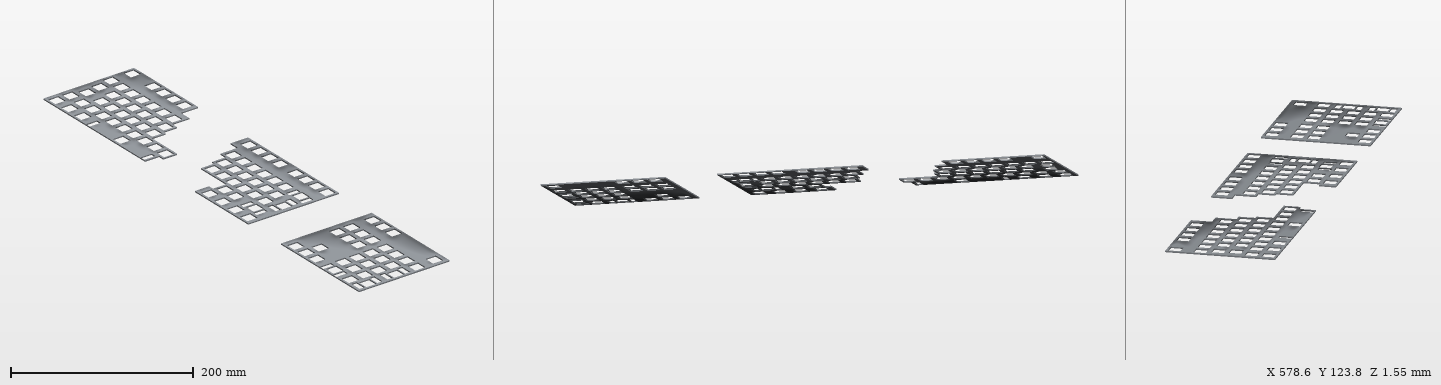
import cadquery as cq


UNIT = 19.05
HALF_KEY = 0.5
THICKNESS = 1.55
TOTAL_LENGTH = 578.62
PAD_GAP = 60.0

SWITCH_SIZE = 14.0
STABILISER_WIDTH = 7.0
STABILISER_FRONT = 9.0
STABILISER_BACK = 6.0
SHORT_STABILISER = 12.0
SPACEBAR_STABILISER = 50.0

DEPTH = 6.5
RIGHT_WIDTH = 8.75
PAD_WIDTH = 7.5

BOTTOM_ROW, SHIFT_ROW, HOME_ROW, UPPER_ROW, NUMBER_ROW = (HALF_KEY + row for row in range(5))
FUNCTION_ROW = DEPTH - HALF_KEY

SHIFT_FRONT, HOME_FRONT, UPPER_FRONT, NUMBER_FRONT = range(1, 5)
FUNCTION_FRONT = FUNCTION_ROW - 0.75

LEFT_X = 0.0
PAD_X = TOTAL_LENGTH - PAD_WIDTH * UNIT
RIGHT_X = PAD_X - PAD_GAP - RIGHT_WIDTH * UNIT


def run(first, count):
    """Centres of `count` one-unit keys standing side by side."""
    return [first + step for step in range(count)]


def scaled(points):
    """Turn points in key units into millimetres."""
    return [(x * UNIT, y * UNIT) for x, y in points]


def make_blank(outline):
    """A plate with the given outline, before any opening is cut."""
    return cq.Workplane("XY").polyline(scaled(outline)).close().extrude(THICKNESS)


def cut_switches(plate, rows):
    """Cut a switch opening at every key of [(row centre, [key centres])]."""
    centres = [(x, y) for y, columns in rows for x in columns]
    openings = (
        cq.Workplane("XY")
        .pushPoints(scaled(centres))
        .rect(SWITCH_SIZE, SWITCH_SIZE)
        .extrude(THICKNESS)
    )
    return plate.cut(openings)


def cut_stabilisers(plate, key, offset, upright=False):
    """Cut the slot pair of a long key; an upright key has its front turned to -X."""
    slot_length = STABILISER_FRONT + STABILISER_BACK
    slot_shift = (STABILISER_BACK - STABILISER_FRONT) / 2
    slots = (
        cq.Workplane("XY")
        .pushPoints([(-offset, slot_shift), (offset, slot_shift)])
        .rect(STABILISER_WIDTH, slot_length)
        .extrude(THICKNESS)
    )
    if upright:
        slots = slots.rotate((0, 0, 0), (0, 0, 1), -90)
    key_x, key_y = key
    return plate.cut(slots.translate((key_x * UNIT, key_y * UNIT, 0)))


LEFT_FUNCTION_KEYS = [0.5] + run(2.5, 4)
LEFT_NUMBER_KEYS = run(0.5, 7)
LEFT_UPPER_KEYS = [0.75] + run(2.0, 6)
LEFT_HOME_KEYS = [0.875] + run(2.25, 6)
LEFT_SHIFT_KEYS = [0.625] + run(1.75, 9)
SPACEBAR = (6.875, BOTTOM_ROW)
LEFT_BOTTOM_KEYS = [0.625, 1.875, 3.125, SPACEBAR[0]]

LEFT_FUNCTION_END = 6.175
LEFT_NUMBER_END = LEFT_NUMBER_KEYS[-1] + HALF_KEY
LEFT_UPPER_END = LEFT_UPPER_KEYS[-1] + HALF_KEY
LEFT_HOME_END = LEFT_HOME_KEYS[-1] + HALF_KEY
LEFT_SHIFT_END = 10.2
LEFT_BOTTOM_END = 9.8


def make_left_plate():
    plate = make_blank([
        (0, 0),
        (LEFT_BOTTOM_END, 0),
        (LEFT_BOTTOM_END, SHIFT_FRONT),
        (LEFT_SHIFT_END, SHIFT_FRONT),
        (LEFT_SHIFT_END, HOME_FRONT),
        (LEFT_HOME_END, HOME_FRONT),
        (LEFT_HOME_END, UPPER_FRONT),
        (LEFT_UPPER_END, UPPER_FRONT),
        (LEFT_UPPER_END, NUMBER_FRONT),
        (LEFT_NUMBER_END, NUMBER_FRONT),
        (LEFT_NUMBER_END, FUNCTION_FRONT),
        (LEFT_FUNCTION_END, FUNCTION_FRONT),
        (LEFT_FUNCTION_END, DEPTH),
        (0, DEPTH),
    ])
    plate = cut_switches(plate, [
        (FUNCTION_ROW, LEFT_FUNCTION_KEYS),
        (NUMBER_ROW, LEFT_NUMBER_KEYS),
        (UPPER_ROW, LEFT_UPPER_KEYS),
        (HOME_ROW, LEFT_HOME_KEYS),
        (SHIFT_ROW, LEFT_SHIFT_KEYS),
        (BOTTOM_ROW, LEFT_BOTTOM_KEYS),
    ])
    plate = cut_stabilisers(plate, SPACEBAR, SPACEBAR_STABILISER)
    return plate.translate((LEFT_X, 0, 0))


BACKSPACE = (RIGHT_WIDTH - 1.0, NUMBER_ROW)
ENTER = (RIGHT_WIDTH - 0.625, UPPER_FRONT)
RIGHT_SHIFT = (RIGHT_WIDTH - 1.375, SHIFT_ROW)

RIGHT_FUNCTION_KEYS = run(0.75, 4) + run(5.25, 4)
RIGHT_NUMBER_KEYS = run(1.25, 6) + [BACKSPACE[0]]
RIGHT_UPPER_KEYS = run(1.75, 6)
RIGHT_HOME_KEYS = run(2.0, 6)
RIGHT_SHIFT_KEYS = run(4.5, 2) + [RIGHT_SHIFT[0]]
RIGHT_BOTTOM_KEYS = [4.375, 5.625, 6.875, 8.125]

RIGHT_NUMBER_START = 0.7
RIGHT_UPPER_START = RIGHT_UPPER_KEYS[0] - HALF_KEY
RIGHT_HOME_START = RIGHT_HOME_KEYS[0] - HALF_KEY
RIGHT_SHIFT_START = RIGHT_SHIFT_KEYS[0] - HALF_KEY
RIGHT_BOTTOM_START = 3.625


def make_right_plate():
    plate = make_blank([
        (RIGHT_BOTTOM_START, 0),
        (RIGHT_WIDTH, 0),
        (RIGHT_WIDTH, DEPTH),
        (0, DEPTH),
        (0, FUNCTION_FRONT),
        (RIGHT_NUMBER_START, FUNCTION_FRONT),
        (RIGHT_NUMBER_START, NUMBER_FRONT),
        (RIGHT_UPPER_START, NUMBER_FRONT),
        (RIGHT_UPPER_START, UPPER_FRONT),
        (RIGHT_HOME_START, UPPER_FRONT),
        (RIGHT_HOME_START, HOME_FRONT),
        (RIGHT_SHIFT_START, HOME_FRONT),
        (RIGHT_SHIFT_START, SHIFT_FRONT),
        (RIGHT_BOTTOM_START, SHIFT_FRONT),
    ])
    plate = cut_switches(plate, [
        (FUNCTION_ROW, RIGHT_FUNCTION_KEYS),
        (NUMBER_ROW, RIGHT_NUMBER_KEYS),
        (UPPER_ROW, RIGHT_UPPER_KEYS),
        (ENTER[1], [ENTER[0]]),
        (HOME_ROW, RIGHT_HOME_KEYS),
        (SHIFT_ROW, RIGHT_SHIFT_KEYS),
        (BOTTOM_ROW, RIGHT_BOTTOM_KEYS),
    ])
    plate = cut_stabilisers(plate, BACKSPACE, SHORT_STABILISER)
    plate = cut_stabilisers(plate, RIGHT_SHIFT, SHORT_STABILISER)
    plate = cut_stabilisers(plate, ENTER, SHORT_STABILISER, upright=True)
    return plate.translate((RIGHT_X, 0, 0))


NAVIGATION = run(0.75, 3)
NUMPAD = run(4.0, 3)
LAST_COLUMN = PAD_WIDTH - HALF_KEY
PAD_PLUS = (LAST_COLUMN, UPPER_FRONT)
PAD_ENTER = (LAST_COLUMN, SHIFT_FRONT)
PAD_ZERO = ((NUMPAD[0] + NUMPAD[1]) / 2, BOTTOM_ROW)
CORNER_KEY = (6.9, 5.85)


def make_pad_plate():
    plate = make_blank([(0, 0), (PAD_WIDTH, 0), (PAD_WIDTH, DEPTH), (0, DEPTH)])
    plate = cut_switches(plate, [
        (FUNCTION_ROW, NAVIGATION),
        (CORNER_KEY[1], [CORNER_KEY[0]]),
        (NUMBER_ROW, NAVIGATION + NUMPAD + [LAST_COLUMN]),
        (UPPER_ROW, NAVIGATION + NUMPAD),
        (PAD_PLUS[1], [PAD_PLUS[0]]),
        (HOME_ROW, NUMPAD),
        (SHIFT_ROW, [NAVIGATION[1]] + NUMPAD),
        (PAD_ENTER[1], [PAD_ENTER[0]]),
        (BOTTOM_ROW, NAVIGATION + [PAD_ZERO[0], NUMPAD[2]]),
    ])
    plate = cut_stabilisers(plate, PAD_ZERO, SHORT_STABILISER)
    plate = cut_stabilisers(plate, PAD_PLUS, SHORT_STABILISER, upright=True)
    plate = cut_stabilisers(plate, PAD_ENTER, SHORT_STABILISER, upright=True)
    return plate.translate((PAD_X, 0, 0))


left_plate = make_left_plate().solids()
right_plate = make_right_plate().solids()
pad_plate = make_pad_plate().solids()

result = cq.Compound.makeCompound([left_plate.val(), right_plate.val(), pad_plate.val()])